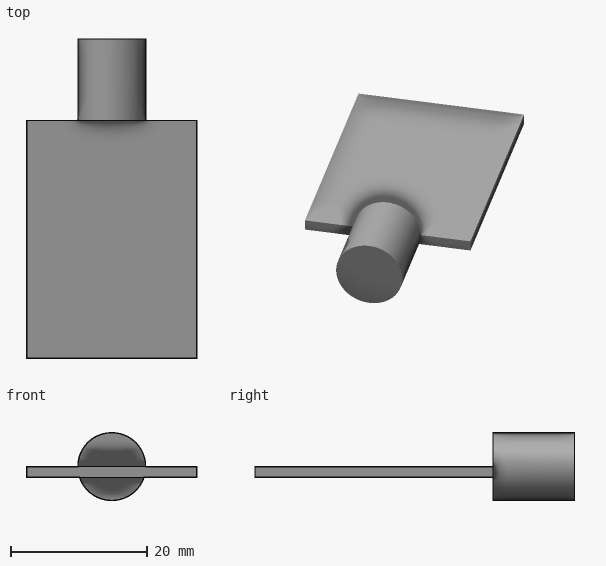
import cadquery as cq

plate_width = 25.0
plate_length = 35.0
plate_thickness = 1.6

barrel_diameter = 10.0
barrel_length = 12.0


def make_plate():
    """Plate centred on X and Y, with its top face at Z = 0."""
    return cq.Workplane("XY").rect(plate_width, plate_length).extrude(-plate_thickness)


def make_barrel():
    """Barrel along +Y from the rear edge, its axis level with the plate's top face."""
    rear_edge = cq.Workplane("XZ", origin=(0, plate_length / 2, 0))
    return rear_edge.circle(barrel_diameter / 2).extrude(-barrel_length)


result = make_plate().union(make_barrel())